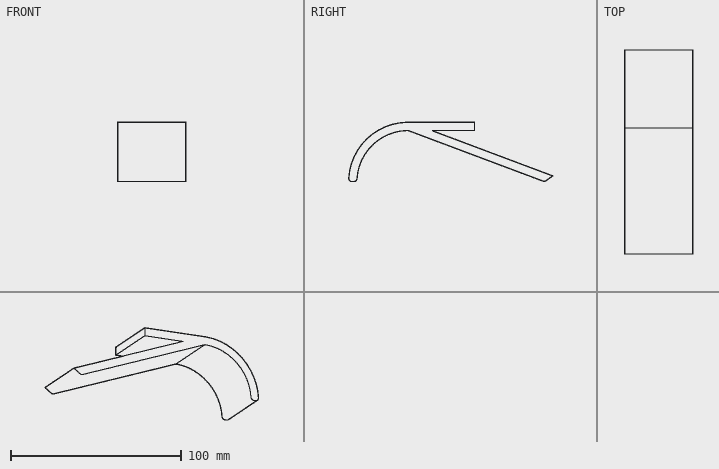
import cadquery as cq
import math

width = 40.0
thickness = 5.0

outer_radius = 35.0
inner_radius = outer_radius - thickness
hook_mid_angle = 135.0
tip_fillet = 2.0

plate_length = 40.0
seam_y = -1.0
plate_end_y = seam_y + plate_length
plate_top_z = math.sqrt(outer_radius**2 - seam_y**2)
plate_bottom_z = plate_top_z - thickness

leg_slope = math.radians(20.56)
leg_root_y = 0.0
underside_root_z = inner_radius
leg_end_y = 85.0
leg_end_slope = math.radians(36.0)
leg_corner_fillet = 2.0


def extrude_profile(profile):
    """Extrude a closed YZ profile symmetrically across the width."""
    return profile.close().extrude(width / 2, both=True)


def make_hook():
    """Quarter-round strip with a rounded free end."""
    mid_angle = math.radians(hook_mid_angle)
    mid_y = math.cos(mid_angle)
    mid_z = math.sin(mid_angle)
    profile = (
        cq.Workplane("YZ")
        .moveTo(seam_y, plate_top_z)
        .threePointArc((outer_radius * mid_y, outer_radius * mid_z), (-outer_radius, 0))
        .lineTo(-inner_radius, 0)
        .threePointArc((inner_radius * mid_y, inner_radius * mid_z), (seam_y, plate_bottom_z))
    )
    return extrude_profile(profile).faces("<Z").edges("|X").fillet(tip_fillet)


def make_plate():
    """Flat horizontal plate running back from the hook."""
    profile = (
        cq.Workplane("YZ")
        .moveTo(seam_y, plate_top_z)
        .lineTo(plate_end_y, plate_top_z)
        .lineTo(plate_end_y, plate_bottom_z)
        .lineTo(seam_y, plate_bottom_z)
    )
    return extrude_profile(profile)


def make_leg():
    """Sloping strip that merges into the plate and the start of the hook."""
    slope = math.tan(leg_slope)
    end_slope = math.tan(leg_end_slope)
    vertical_thickness = thickness / math.cos(leg_slope)
    end_top_z = underside_root_z + vertical_thickness - slope * (leg_end_y - leg_root_y)
    plate_top_y = leg_end_y - (plate_top_z - end_top_z) / slope
    end_face_run = vertical_thickness / (slope + end_slope)
    end_bottom_y = leg_end_y - end_face_run
    end_bottom_z = end_top_z - end_slope * end_face_run
    profile = (
        cq.Workplane("YZ")
        .moveTo(leg_root_y, underside_root_z)
        .lineTo(leg_root_y, plate_top_z)
        .lineTo(plate_top_y, plate_top_z)
        .lineTo(leg_end_y, end_top_z)
        .lineTo(end_bottom_y, end_bottom_z)
    )
    return extrude_profile(profile).edges("|X and <Z").fillet(leg_corner_fillet)


result = make_hook().union(make_plate()).union(make_leg())